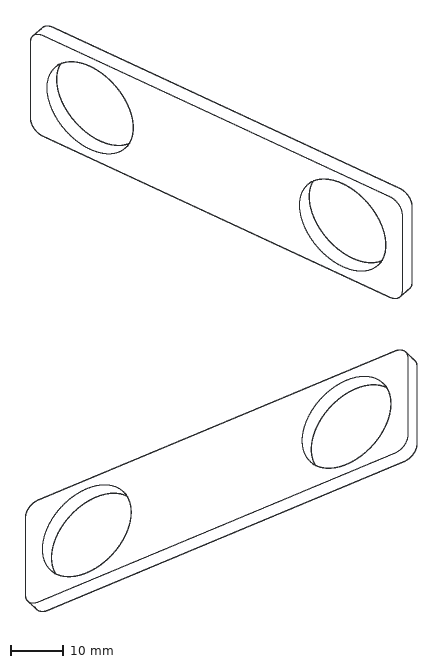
import cadquery as cq

length = 88.7
thickness = 3.2
height = 25.0
corner_radius = 3.0
hole_diameter = 20.6
hole_spacing = 60.25

plate = cq.Workplane("XY").box(length, thickness, height)
plate = plate.edges("|Y").fillet(corner_radius)

hole_centres = [(-hole_spacing / 2, 0), (hole_spacing / 2, 0)]
result = plate.faces("<Y").workplane().pushPoints(hole_centres).hole(hole_diameter)